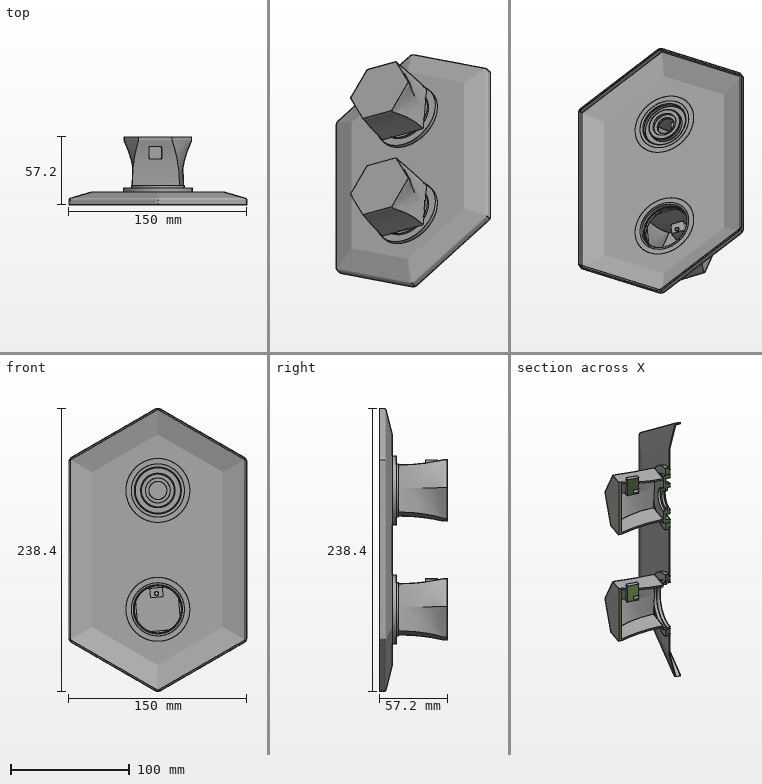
import cadquery as cq
import math


plate_half_width = 75.0
plate_half_height = 119.2
plate_corner_radius = 5.0
slope_corner_radius = 8.3
plate_depth = 11.0
skirt_depth = 5.2
skirt_edge_radius = 2.0
slope_inset = 19.5
sheet_thickness = 1.5
plate_pitch = math.atan2(plate_depth - skirt_depth, slope_inset)
plate_slope = 90 - math.degrees(plate_pitch)
inner_skirt_depth = skirt_depth + sheet_thickness * (math.tan(plate_pitch) - 1 / math.cos(plate_pitch))

control_spacing = 100.1
control_heights = (control_spacing / 2, -control_spacing / 2)

flange_radius = 29.0
flange_neck_radius = 27.0
flange_bore_radius = 22.5
flange_thickness = 3.3
flange_back = plate_depth - sheet_thickness
flange_front = plate_depth + flange_thickness

knob_turn = 5.0
knob_base_half_side = 20.0
knob_rim_radius = 28.5
knob_wall = 2.0
knob_base_gap = 2.0
knob_base_band = 2.0
knob_rim_band = 3.0
knob_end = 57.2
knob_start = flange_front + knob_base_gap
flare_start = knob_start + knob_base_band
flare_end = knob_end - knob_rim_band

button_width = 10.7
button_length = 10.5
button_start = 38.6
button_bottom = 10.3
button_top = 25.5
button_corner_radius = 1.0
button_hole_radius = 1.7
button_hole_height = 13.4
button_hole_depth = 4.8

ring_front_bore_radius = 20.7
ring_bore_radius = 19.8
ring_step_depth = 3.5

insert_groove_outer_radius = 19.0
insert_groove_inner_radius = 14.5
insert_groove_depth = 3.8
insert_groove_chamfer = 0.7
insert_counterbore_radius = 10.5
insert_counterbore_depth = 2.5
insert_web = 2.1
insert_hole_radius = 7.6

HEX_SLOPE = math.radians(30)


def cylinder(radius, start, end, height=0.0):
    """Cylinder along Y from start to end, with its axis at Z = height."""
    return cq.Workplane(
        cq.Solid.makeCylinder(radius, end - start, cq.Vector(0, start, height), cq.Vector(0, 1, 0))
    )




def plate_outline(inset):
    """Corners of the plate hexagon, with every side moved in by the inset."""
    half_width = plate_half_width - inset
    corner_overhang = plate_corner_radius * (1 / math.cos(HEX_SLOPE) - 1)
    apex = plate_half_height + corner_overhang - inset / math.cos(HEX_SLOPE)
    shoulder = apex - half_width * math.tan(HEX_SLOPE)
    return [
        (0, apex),
        (half_width, shoulder),
        (half_width, -shoulder),
        (0, -apex),
        (-half_width, -shoulder),
        (-half_width, shoulder),
    ]


def plate_prism(inset, start, end, slope_angle=0.0):
    """Hexagonal prism from start to end, its sides leaning in by the slope angle in degrees."""
    return (
        cq.Workplane("XZ", origin=(0, start, 0))
        .polyline(plate_outline(inset))
        .close()
        .extrude(start - end, taper=slope_angle)
    )


def sloping_block(inset, skirt, depth):
    """Hexagonal frustum down to the rim plane, passing the given inset at the top of the skirt."""
    overhang = skirt * math.tan(math.radians(plate_slope))
    return plate_prism(inset - overhang, 0, depth, plate_slope)


def is_at_skirt_top(edge):
    """True for an edge that lies where the straight skirt meets the slope."""
    box = edge.BoundingBox()
    return box.ymin > skirt_depth / 2 and box.ymax < (skirt_depth + plate_depth) / 2


def make_plate():
    straight = plate_prism(0, 0, plate_depth).edges("|Y").fillet(plate_corner_radius)
    sloping = sloping_block(0, skirt_depth, plate_depth).edges("not #Y").fillet(slope_corner_radius)
    outside = straight.intersect(sloping)
    skirt_edges = [edge for edge in outside.edges("not |Y").vals() if is_at_skirt_top(edge)]
    outside = outside.newObject(skirt_edges).fillet(skirt_edge_radius)

    hollow_straight = plate_prism(sheet_thickness, 0, flange_back)
    hollow = sloping_block(sheet_thickness, inner_skirt_depth, flange_back).intersect(hollow_straight)
    plate = outside.cut(hollow)
    for height in control_heights:
        plate = plate.cut(cylinder(flange_neck_radius, 0, plate_depth, height))
    return plate




def make_flange(height):
    disc = cylinder(flange_radius, plate_depth, flange_front, height)
    neck = cylinder(flange_neck_radius, flange_back, plate_depth, height)
    bore = cylinder(flange_bore_radius, flange_back, flange_front, height)
    return disc.union(neck).cut(bore)




def square_corners(half_side, depth):
    """Corners of the square base, with one more point halfway along each X side."""
    points = [(1, 0), (1, 1), (-1, 1), (-1, 0), (-1, -1), (1, -1)]
    return [cq.Vector(x * half_side, depth, z * half_side) for x, z in points]


def hexagon_corners(radius, depth):
    angles = [math.radians(60 * i) for i in range(6)]
    return [cq.Vector(radius * math.cos(a), depth, radius * math.sin(a)) for a in angles]


def prism(corners, length):
    wire = cq.Wire.makePolygon(corners, close=True)
    return cq.Workplane(cq.Solid.extrudeLinear(wire, [], cq.Vector(0, length, 0)))


def flare(half_side, radius, start, end):
    """Square at start that opens into a hexagon at end, leaving the square parallel to Y."""
    base = square_corners(half_side, start)
    rim = hexagon_corners(radius, end)
    rise = cq.Vector(0, (end - start) / 2, 0)
    ridges = [cq.Edge.makeBezier([low, low + rise, high]) for low, high in zip(base, rim)]
    faces = [cq.Face.makeRuledSurface(ridges[i - 1], ridges[i]) for i in range(len(ridges))]
    for corners in (base, rim):
        faces.append(cq.Face.makeFromWires(cq.Wire.makePolygon(corners, close=True)))
    return cq.Workplane(cq.Solid.makeSolid(cq.Shell.makeShell(faces)))


def place_on_control(body, height):
    return body.rotate((0, 0, 0), (0, 1, 0), -knob_turn).translate((0, 0, height))


def button_block():
    block = cq.Workplane("XY").box(
        button_width, button_length, button_top - button_bottom, centered=(True, False, False)
    )
    block = block.translate((0, button_start, button_bottom))
    return block.edges("|Z").fillet(button_corner_radius)


def make_knob(height):
    base_band = prism(square_corners(knob_base_half_side, knob_start), knob_base_band)
    body = flare(knob_base_half_side, knob_rim_radius, flare_start, flare_end)
    rim_band = prism(hexagon_corners(knob_rim_radius, flare_end), knob_rim_band)
    inner_half_side = knob_base_half_side - knob_wall
    inner_rim_radius = knob_rim_radius - knob_wall / math.cos(HEX_SLOPE)
    mouth = prism(square_corners(inner_half_side, knob_start), knob_base_band)
    hollow = flare(inner_half_side, inner_rim_radius, flare_start, flare_end)
    knob = base_band.union(body).union(rim_band).cut(mouth).cut(hollow).cut(button_block())
    return place_on_control(knob, height)


def make_button(height):
    hole_end = button_start + button_hole_depth
    hole = cylinder(button_hole_radius, button_start, hole_end, button_hole_height)
    return place_on_control(button_block().cut(hole), height)




def make_lower_ring(height):
    ring = cylinder(flange_bore_radius, flange_back, knob_start, height)
    front_bore = cylinder(ring_front_bore_radius, flange_back, flange_back + ring_step_depth, height)
    bore = cylinder(ring_bore_radius, flange_back, knob_start, height)
    return ring.cut(front_bore).cut(bore)


def insert_groove():
    """Ring-shaped groove around the Y axis, chamfered at both edges of its mouth."""
    floor = flange_back + insert_groove_depth
    chamfer_end = flange_back + insert_groove_chamfer
    profile = [
        (insert_groove_inner_radius, floor),
        (insert_groove_outer_radius, floor),
        (insert_groove_outer_radius, chamfer_end),
        (insert_groove_outer_radius + insert_groove_chamfer, flange_back),
        (insert_groove_inner_radius - insert_groove_chamfer, flange_back),
        (insert_groove_inner_radius, chamfer_end),
    ]
    return cq.Workplane("XY").polyline(profile).close().revolve(360, (0, 0, 0), (0, 1, 0))


def make_upper_insert(height):
    insert = cylinder(flange_bore_radius, flange_back, knob_start, height)
    groove = insert_groove().translate((0, 0, height))
    counterbore_floor = flange_back + insert_counterbore_depth
    web_end = counterbore_floor + insert_web
    front_counterbore = cylinder(insert_counterbore_radius, flange_back, counterbore_floor, height)
    hole = cylinder(insert_hole_radius, flange_back, knob_start, height)
    back_counterbore = cylinder(insert_counterbore_radius, web_end, knob_start, height)
    return insert.cut(groove).cut(front_counterbore).cut(hole).cut(back_counterbore)



upper_height, lower_height = control_heights
plate = make_plate()
flanges = [make_flange(height) for height in control_heights]
knobs = [make_knob(height) for height in control_heights]
buttons = [make_button(height) for height in control_heights]
upper_insert = make_upper_insert(upper_height)
lower_ring = make_lower_ring(lower_height)

bodies = [plate, *flanges, *knobs, *buttons, upper_insert, lower_ring]
result = cq.Compound.makeCompound([body.solids().val() for body in bodies])